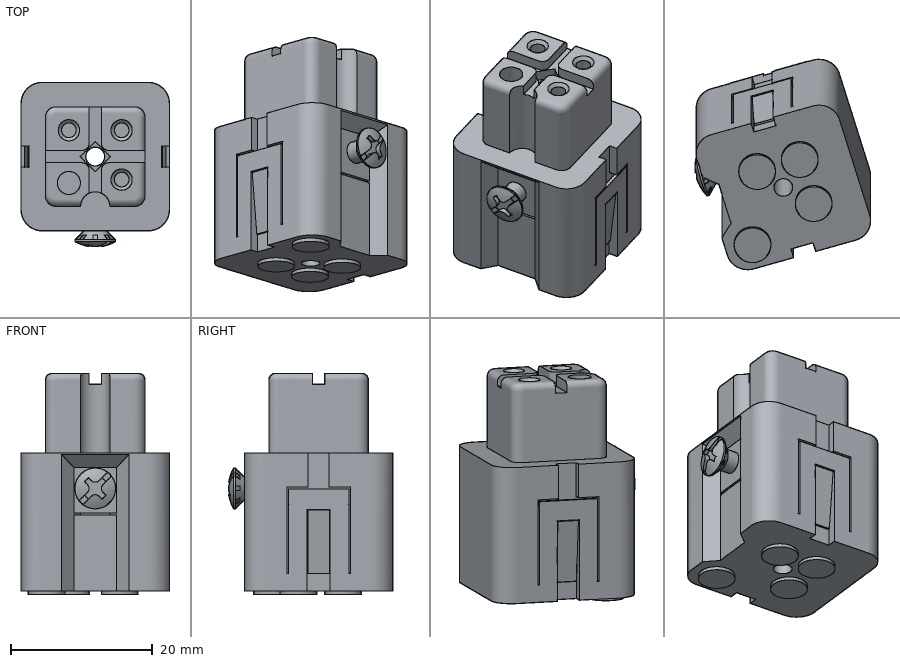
import cadquery as cq
import math

TOTAL_HEIGHT = 31.3
FOOT_HEIGHT = 0.5
BODY_TOP = 20.05

BODY_WIDTH = 21.0
BODY_CORNER_RADIUS = 3.0
BODY_SIDE = BODY_WIDTH / 2
BODY_FRONT = -BODY_SIDE

TOWER_WIDTH = 14.1
TOWER_CORNER_RADIUS = 1.5
TOWER_TOP_FILLET = 0.97
KEYWAY_RADIUS = 2.07
CROSS_SLOT_WIDTH = 1.72
CROSS_SLOT_DEPTH = 1.53
POST_CORNER_RADIUS = 1.05
DIAMOND_HALF_DIAGONAL = 2.13
DIAMOND_DEPTH = 1.55
CENTRE_HOLE_DIAMETER = 2.63

CONTACT_OFFSET = 3.72
FRONT_CONTACT_Y = -3.25
CONTACT_CENTRES = (
    (-CONTACT_OFFSET, CONTACT_OFFSET),
    (CONTACT_OFFSET, CONTACT_OFFSET),
    (CONTACT_OFFSET, FRONT_CONTACT_Y),
)
CONTACT_RADIUS = 1.03
CONTACT_MOUTH_RADIUS = 1.5
CONTACT_DEPTH = 9.4
EARTH_HOLE_RADIUS = 1.63
EARTH_HOLE_DEPTH = 9.4

FOOT_RADIUS = 2.6
FOOT_CENTRES = ((-3.45, 3.45), (3.45, 3.45), (3.45, -2.85), (-6.9, -6.6))

POCKET_HALF_WIDTH = 4.75
POCKET_TOP = 19.8
POCKET_DEPTH = 1.88
POCKET_SIDE_INSET = 1.72
POCKET_TOP_INSET = 1.8
SLIT_EXTRA_DEPTH = 1.0
SLIT_HEIGHT = 0.28
SLIT_BOTTOM = 11.25

NOTCH_WIDTH = 2.97
NOTCH_DEPTH = 1.15
NOTCH_BOTTOM = 15.25
LATCH_GAP_HEIGHT = 0.28
LATCH_WIDTH = 8.5
LATCH_GAP_WIDTH = 0.25
LATCH_GAP_BOTTOM = 3.05
LATCH_FLAT = 0.53
LATCH_BEVEL_WIDTH = 0.47
LATCH_BEVEL_HEIGHT = 2.2
WINDOW_WIDTH = 3.25
WINDOW_TOP = 12.08
WINDOW_DEPTH = 1.35
WEDGE_CLEARANCE = 0.13
WEDGE_TOP_SETBACK = 0.13
WEDGE_FOOT_SETBACK = 1.05

SCREW_Z = 15.02
SCREW_SHANK_RADIUS = 1.55
SCREW_HEAD_RADIUS = 2.88
SCREW_TIP = -12.8
SCREW_RIM_HEIGHT = 0.28
SCREW_DOME_HEIGHT = 0.78
DRIVE_WIDTH = 0.78
DRIVE_REACH = 1.75
DRIVE_THROAT_RADIUS = 0.78
DRIVE_DEPTH = 0.88
DRIVE_SLOT_DEPTH = 0.8
DRIVE_ANGLE = 45.0
SERRATION_COUNT = 8
SERRATION_WIDTH = 0.63
SERRATION_LENGTH = 0.65
SERRATION_DEPTH = 0.13


def box_between(x_range, y_range, z_range):
    size = [abs(b - a) for a, b in (x_range, y_range, z_range)]
    centre = tuple((a + b) / 2 for a, b in (x_range, y_range, z_range))
    return cq.Workplane("XY").box(*size).translate(centre)


def make_body():
    return (
        box_between((-BODY_SIDE, BODY_SIDE), (BODY_FRONT, BODY_SIDE), (FOOT_HEIGHT, BODY_TOP))
        .edges("|Z")
        .fillet(BODY_CORNER_RADIUS)
    )


def make_tower():
    tower_height = TOTAL_HEIGHT - BODY_TOP
    tower = (
        cq.Workplane("XY", origin=(0, 0, BODY_TOP))
        .rect(TOWER_WIDTH, TOWER_WIDTH)
        .extrude(tower_height)
        .edges("|Z")
        .fillet(TOWER_CORNER_RADIUS)
        .faces(">Z")
        .edges()
        .fillet(TOWER_TOP_FILLET)
    )
    keyway = (
        cq.Workplane("XY", origin=(0, -TOWER_WIDTH / 2, BODY_TOP))
        .circle(KEYWAY_RADIUS)
        .extrude(tower_height)
    )
    return tower.cut(keyway).cut(make_cross_slot())


def make_cross_slot():
    """Cross of two slots whose four inner corners are rounded."""
    plane = cq.Workplane("XY", origin=(0, 0, TOTAL_HEIGHT - CROSS_SLOT_DEPTH))
    along_x = plane.rect(TOWER_WIDTH, CROSS_SLOT_WIDTH).extrude(CROSS_SLOT_DEPTH)
    along_y = plane.rect(CROSS_SLOT_WIDTH, TOWER_WIDTH).extrude(CROSS_SLOT_DEPTH)
    inner_corners = cq.selectors.BoxSelector(
        (-CROSS_SLOT_WIDTH, -CROSS_SLOT_WIDTH, 0),
        (CROSS_SLOT_WIDTH, CROSS_SLOT_WIDTH, 2 * TOTAL_HEIGHT),
    )
    return along_x.union(along_y).edges("|Z").edges(inner_corners).fillet(POST_CORNER_RADIUS)


def cut_centre(part):
    """Diamond recess in the slot floor and the hole through the whole part."""
    slot_floor = TOTAL_HEIGHT - CROSS_SLOT_DEPTH
    diamond = (
        cq.Workplane("XY", origin=(0, 0, slot_floor))
        .polygon(4, 2 * DIAMOND_HALF_DIAGONAL)
        .extrude(-DIAMOND_DEPTH)
    )
    hole = cq.Workplane("XY").circle(CENTRE_HOLE_DIAMETER / 2).extrude(TOTAL_HEIGHT)
    return part.cut(diamond).cut(hole)


def cut_contacts(part):
    top = cq.Workplane("XY", origin=(0, 0, TOTAL_HEIGHT))
    mouth_depth = CONTACT_MOUTH_RADIUS - CONTACT_RADIUS
    cavity = top.circle(CONTACT_RADIUS).extrude(-CONTACT_DEPTH)
    mouth = (
        top.circle(CONTACT_MOUTH_RADIUS)
        .workplane(offset=-mouth_depth)
        .circle(CONTACT_RADIUS)
        .loft(ruled=True)
    )
    for x, y in CONTACT_CENTRES:
        part = part.cut(cavity.union(mouth).translate((x, y, 0)))
    earth_hole = (
        top.center(-CONTACT_OFFSET, -CONTACT_OFFSET)
        .circle(EARTH_HOLE_RADIUS)
        .extrude(-EARTH_HOLE_DEPTH)
    )
    return part.cut(earth_hole)


def make_feet():
    return (
        cq.Workplane("XY")
        .pushPoints(FOOT_CENTRES)
        .circle(FOOT_RADIUS)
        .extrude(FOOT_HEIGHT, combine=True)
    )


def make_pocket(depth):
    """Front recess whose sides and top slope inward down to the given depth."""
    side_inset = POCKET_SIDE_INSET * depth / POCKET_DEPTH
    top_inset = POCKET_TOP_INSET * depth / POCKET_DEPTH
    floor_y = BODY_FRONT + depth
    floor_half_width = POCKET_HALF_WIDTH - side_inset
    channel = (
        cq.Workplane("XY")
        .polyline([
            (-POCKET_HALF_WIDTH, BODY_FRONT),
            (POCKET_HALF_WIDTH, BODY_FRONT),
            (floor_half_width, floor_y),
            (-floor_half_width, floor_y),
        ])
        .close()
        .extrude(POCKET_TOP)
    )
    sloped_top = (
        cq.Workplane("YZ", origin=(-BODY_SIDE, 0, 0))
        .polyline([
            (BODY_FRONT, FOOT_HEIGHT),
            (BODY_FRONT, POCKET_TOP),
            (floor_y, POCKET_TOP - top_inset),
            (floor_y, FOOT_HEIGHT),
        ])
        .close()
        .extrude(BODY_WIDTH)
    )
    return channel.intersect(sloped_top)


def cut_front_pocket(part):
    slit_layer = box_between(
        (-BODY_SIDE, BODY_SIDE), (BODY_FRONT, 0), (SLIT_BOTTOM, SLIT_BOTTOM + SLIT_HEIGHT)
    )
    slit = make_pocket(POCKET_DEPTH + SLIT_EXTRA_DEPTH).intersect(slit_layer)
    return part.cut(make_pocket(POCKET_DEPTH)).cut(slit)


def extrude_side_profile(points, width):
    """Prism along Y, centred, from (x, z) points."""
    return cq.Workplane("XZ").polyline(points).close().extrude(width / 2, both=True)


def make_latch_cut():
    """Material removed on the -X side to leave the latch tongue and its wedge."""
    face = -BODY_SIDE
    latch_top = NOTCH_BOTTOM - LATCH_GAP_HEIGHT
    notch_floor = face + NOTCH_DEPTH
    notch = box_between(
        (face, notch_floor), (-NOTCH_WIDTH / 2, NOTCH_WIDTH / 2), (NOTCH_BOTTOM, BODY_TOP)
    )
    bevel_start = face + LATCH_FLAT
    bevel_end = bevel_start + LATCH_BEVEL_WIDTH
    top_gap = extrude_side_profile(
        [
            (face, NOTCH_BOTTOM),
            (notch_floor, NOTCH_BOTTOM),
            (notch_floor, latch_top - LATCH_BEVEL_HEIGHT),
            (bevel_end, latch_top - LATCH_BEVEL_HEIGHT),
            (bevel_start, latch_top),
            (face, latch_top),
        ],
        LATCH_WIDTH,
    )
    cuts = notch.union(top_gap)
    for side in (-1, 1):
        inner = side * LATCH_WIDTH / 2
        outer = inner + side * LATCH_GAP_WIDTH
        side_gap = box_between((face, notch_floor), (inner, outer), (LATCH_GAP_BOTTOM, NOTCH_BOTTOM))
        cuts = cuts.union(side_gap)

    window_floor = face + WINDOW_DEPTH
    window = box_between(
        (face, window_floor), (-WINDOW_WIDTH / 2, WINDOW_WIDTH / 2), (FOOT_HEIGHT, WINDOW_TOP)
    )
    wedge_top = WINDOW_TOP - WEDGE_CLEARANCE
    wedge = extrude_side_profile(
        [
            (window_floor, wedge_top),
            (face + WEDGE_TOP_SETBACK, wedge_top),
            (face + WEDGE_FOOT_SETBACK, LATCH_GAP_BOTTOM),
            (window_floor, LATCH_GAP_BOTTOM),
        ],
        WINDOW_WIDTH - 2 * WEDGE_CLEARANCE,
    )
    return cuts.union(window.cut(wedge))


def cut_latches(part):
    latch_cut = make_latch_cut()
    return part.cut(latch_cut).cut(latch_cut.mirror("YZ"))


def make_drive_recess():
    """Cross recess and one longer straight slot, both turned by the drive angle."""
    tip = cq.Workplane("XZ", origin=(0, SCREW_TIP, SCREW_Z)).transformed(rotate=(0, 0, DRIVE_ANGLE))
    arm = tip.rect(2 * DRIVE_REACH, DRIVE_WIDTH).extrude(-DRIVE_DEPTH)
    cross_arm = tip.rect(DRIVE_WIDTH, 2 * DRIVE_REACH).extrude(-DRIVE_DEPTH)
    throat = cq.selectors.BoxSelector(
        (-DRIVE_WIDTH, SCREW_TIP - DRIVE_DEPTH, SCREW_Z - DRIVE_WIDTH),
        (DRIVE_WIDTH, SCREW_TIP + 2 * DRIVE_DEPTH, SCREW_Z + DRIVE_WIDTH),
    )
    cross = arm.union(cross_arm).edges("|Y").edges(throat).fillet(DRIVE_THROAT_RADIUS)
    slot = tip.rect(2 * SCREW_HEAD_RADIUS, DRIVE_WIDTH).extrude(-DRIVE_SLOT_DEPTH)
    return cross.union(slot)


def make_screw():
    """Raised countersunk screw; the cone under its head lies at 45 degrees."""
    rim_front = SCREW_TIP + SCREW_DOME_HEIGHT
    rim_back = rim_front + SCREW_RIM_HEIGHT
    cone_end = rim_back + SCREW_HEAD_RADIUS - SCREW_SHANK_RADIUS
    shank_end = BODY_FRONT + POCKET_DEPTH + SLIT_EXTRA_DEPTH
    dome_radius = (SCREW_HEAD_RADIUS**2 + SCREW_DOME_HEIGHT**2) / (2 * SCREW_DOME_HEIGHT)
    half_angle = math.asin(SCREW_HEAD_RADIUS / dome_radius) / 2
    dome_middle = (
        dome_radius * math.sin(half_angle),
        SCREW_TIP + dome_radius * (1 - math.cos(half_angle)),
    )
    screw = (
        cq.Workplane("XY")
        .moveTo(0, SCREW_TIP)
        .threePointArc(dome_middle, (SCREW_HEAD_RADIUS, rim_front))
        .lineTo(SCREW_HEAD_RADIUS, rim_back)
        .lineTo(SCREW_SHANK_RADIUS, cone_end)
        .lineTo(SCREW_SHANK_RADIUS, shank_end)
        .lineTo(0, shank_end)
        .close()
        .revolve(360, (0, 0, 0), (0, 1, 0))
        .translate((0, 0, SCREW_Z))
    )
    serration_end_radius = SCREW_HEAD_RADIUS - SERRATION_LENGTH
    serration_end = rim_back + SERRATION_LENGTH
    serration = (
        cq.Workplane("XY", origin=(0, 0, SCREW_Z))
        .polyline([
            (SCREW_HEAD_RADIUS, rim_back),
            (serration_end_radius, serration_end),
            (serration_end_radius - SERRATION_DEPTH, serration_end),
            (SCREW_HEAD_RADIUS - SERRATION_DEPTH, rim_back),
        ])
        .close()
        .extrude(SERRATION_WIDTH / 2, both=True)
    )
    for index in range(SERRATION_COUNT):
        angle = index * 360 / SERRATION_COUNT
        screw = screw.cut(serration.rotate((0, 0, SCREW_Z), (0, 1, SCREW_Z), angle))
    return screw.cut(make_drive_recess())


housing = make_body().union(make_tower())
housing = cut_contacts(housing)
housing = cut_front_pocket(housing)
housing = cut_latches(housing)
housing = housing.union(make_feet())
housing = cut_centre(housing)
result = housing.union(make_screw())